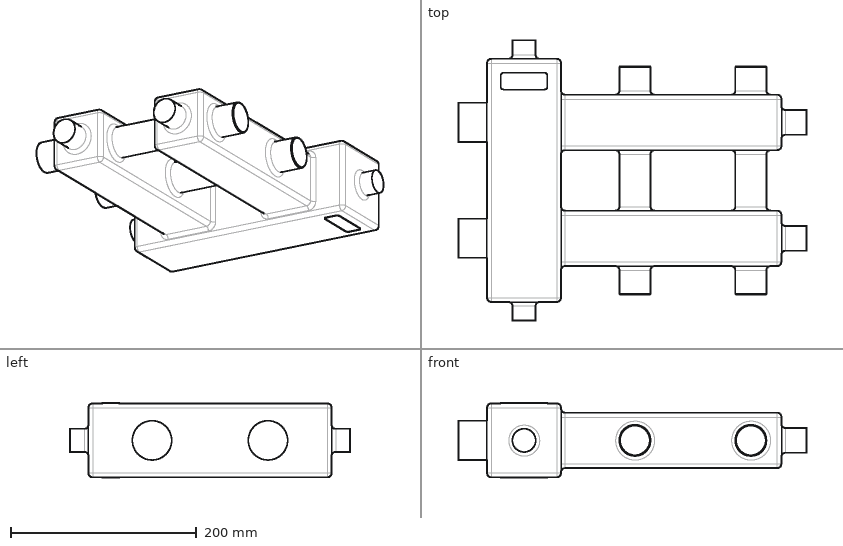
import cadquery as cq

total_length = 375.0
total_width = 302.0
total_height = 81.0

header_start = 30.8
header_side = 80.0
header_length = 262.0
header_end = header_start + header_side
header_middle = header_start + header_side / 2

branch_side = 60.0
branch_end = 348.0
branch_spacing = 125.0
branch_offsets = (-branch_spacing / 2, branch_spacing / 2)

edge_radius = 5.0
weld_radius = 4.0
joint_margin = 0.5

inlet_diameter = 42.5
header_stub_diameter = 25.0
branch_stub_diameter = 27.0
riser_diameter = 33.8
riser_span = 246.0
riser_spacing = 125.0
first_riser = 190.0
riser_places = (first_riser, first_riser + riser_spacing)
riser_end_chamfer = 0.95

plate_length = 50.2
plate_width = 18.0
plate_corner = 3.0
plate_height = (total_height - header_side) / 2
plate_y = 107.0


def rounded_box(x_start, x_end, y_middle, y_size, z_size):
    """Closed box with every edge rounded."""
    x_size = x_end - x_start
    box = cq.Workplane("XY").box(x_size, y_size, z_size).edges().fillet(edge_radius)
    return box.translate((x_start + x_size / 2, y_middle, 0))


def pipe_along_x(x_start, x_end, y, diameter):
    plane = cq.Workplane("YZ", origin=(x_start, y, 0))
    return plane.circle(diameter / 2).extrude(x_end - x_start)


def pipe_along_y(x, length, diameter):
    """Pipe running right through the part, centred on Y = 0."""
    plane = cq.Workplane("XZ", origin=(x, length / 2, 0))
    return plane.circle(diameter / 2).extrude(length)


def weld(body, joint, reach):
    """Fill the joint edges whose centres lie within reach of the joint point, in every direction."""
    corners = [tuple(place + side * reach for place in joint) for side in (-1, 1)]
    return body.edges(cq.selectors.BoxSelector(*corners)).fillet(weld_radius)


body = rounded_box(header_start, header_end, 0, header_length, header_side)
for y in branch_offsets:
    body = body.union(rounded_box(header_middle, branch_end, y, branch_side, branch_side))

body = body.union(pipe_along_y(header_middle, total_width, header_stub_diameter))
for y in branch_offsets:
    body = body.union(pipe_along_x(header_middle, total_length, y, branch_stub_diameter))
for x in riser_places:
    riser = pipe_along_y(x, riser_span, riser_diameter)
    body = body.union(riser.faces("<Y or >Y").chamfer(riser_end_chamfer))

for y in branch_offsets:
    body = weld(body, (header_end, y, 0), branch_side / 2 + joint_margin)
    body = weld(body, (branch_end, y, 0), joint_margin)
for y in (-header_length / 2, header_length / 2):
    body = weld(body, (header_middle, y, 0), joint_margin)
for x in riser_places:
    for middle in branch_offsets:
        for y in (middle - branch_side / 2, middle + branch_side / 2):
            body = weld(body, (x, y, 0), joint_margin)

for y in branch_offsets:
    body = body.union(pipe_along_x(0, header_middle, y, inlet_diameter))

plate = (
    cq.Workplane("XY", origin=(header_middle, plate_y, header_side / 2))
    .rect(plate_length, plate_width)
    .extrude(plate_height)
    .edges("|Z")
    .fillet(plate_corner)
)
body = body.union(plate).union(plate.mirror("XY"))

result = body